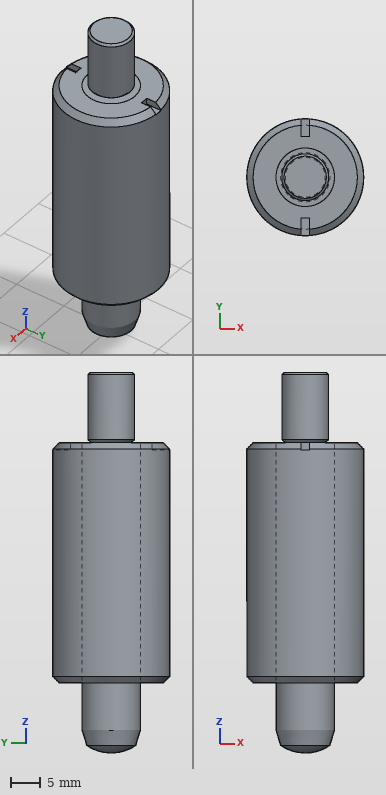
import cadquery as cq

sleeve_radius = 10.0
sleeve_length = 41.0
sleeve_chamfer = 1.1

slot_width = 1.5
slot_depth = 1.25
slot_inner_radius = 7.0

shank_radius = 5.0
shank_projection = 12.0
stud_radius = 4.0
stud_length = 12.0
stud_chamfer = 0.4
undercut_height = 0.5
neck_radius = 3.4

nose_length = 3.9
dome_height = 1.3
dome_radius = 4.2


def make_sleeve():
    sleeve = cq.Workplane("XY").circle(sleeve_radius).extrude(sleeve_length)
    sleeve = sleeve.edges("%CIRCLE").chamfer(sleeve_chamfer)
    bore = cq.Workplane("XY").circle(shank_radius).extrude(sleeve_length)
    sleeve = sleeve.cut(bore)
    return sleeve.cut(make_slot_cutter())


def make_slot_cutter():
    slot_floor_z = sleeve_length - slot_depth
    bar = (
        cq.Workplane("XY", origin=(0, 0, slot_floor_z))
        .rect(slot_width, 2 * sleeve_radius)
        .extrude(slot_depth)
    )
    core = cq.Workplane("XY", origin=(0, 0, slot_floor_z)).circle(slot_inner_radius).extrude(slot_depth)
    return bar.cut(core)


def make_pin():
    tip_z = -shank_projection
    dome_z = tip_z + dome_height
    taper_z = tip_z + nose_length
    stud_top_z = sleeve_length + stud_length

    sphere_radius = (dome_radius**2 + dome_height**2) / (2 * dome_height)
    dome_middle_radius = dome_radius / 2
    dome_middle_z = tip_z + sphere_radius - (sphere_radius**2 - dome_middle_radius**2) ** 0.5

    return (
        cq.Workplane("XZ")
        .moveTo(0, stud_top_z)
        .lineTo(stud_radius - stud_chamfer, stud_top_z)
        .lineTo(stud_radius, stud_top_z - stud_chamfer)
        .lineTo(stud_radius, sleeve_length + undercut_height)
        .lineTo(neck_radius, sleeve_length)
        .lineTo(shank_radius, sleeve_length)
        .lineTo(shank_radius, taper_z)
        .lineTo(dome_radius, dome_z)
        .threePointArc((dome_middle_radius, dome_middle_z), (0, tip_z))
        .close()
        .revolve(360, (0, 0, 0), (0, 1, 0))
    )


sleeve = make_sleeve()
pin = make_pin()

result = cq.Compound.makeCompound([sleeve.val(), pin.val()])